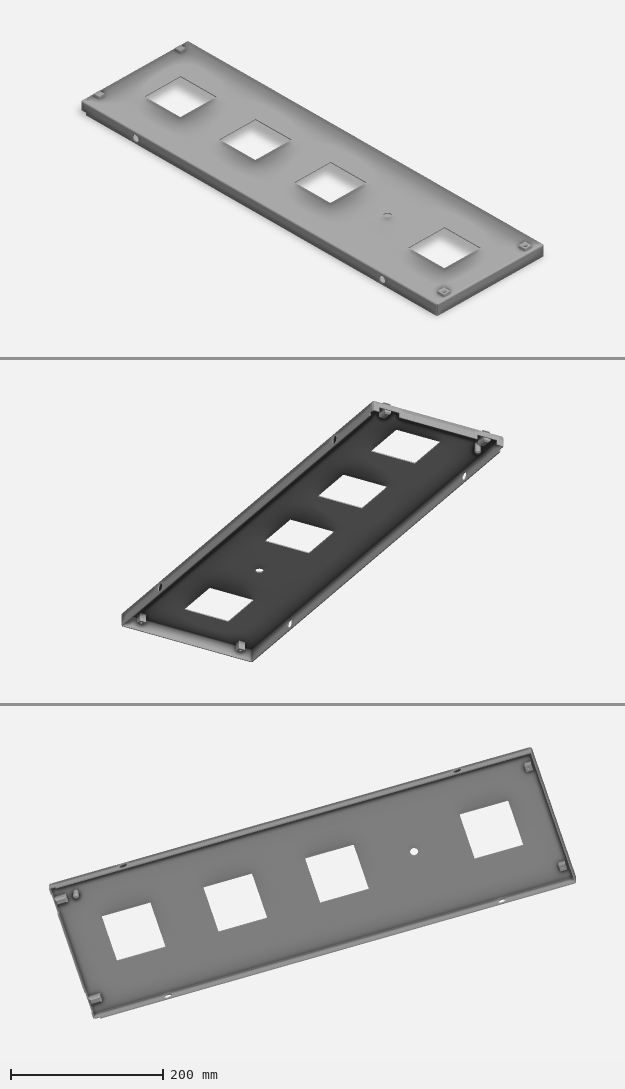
import cadquery as cq

LENGTH = 665.0
WIDTH = 198.0
HEIGHT = 23.0
HEAD_HEIGHT = 4.0
PANEL_HEIGHT = HEIGHT - HEAD_HEIGHT

SHEET = 1.5
BEND_RADIUS = 2.5
INNER_BEND_RADIUS = BEND_RADIUS - SHEET
UNDERSIDE = PANEL_HEIGHT - SHEET
LEFT_END = -LENGTH / 2
CORNER_RELIEF = 1.0
CUT_EXTRA = 6.5

LEFT_WALL_BOTTOM = 4.0
RIM_SETBACK = 9.0
NOTCH_TOP = 10.5
NOTCH_INNER_Y = 59.0
NOTCH_OUTER_Y = 89.0

WINDOW = 67.0
WINDOW_OUTER_EDGE = 280.0
WINDOW_PITCH = WINDOW_OUTER_EDGE / 2
TOP_HOLE_X = WINDOW_PITCH
TOP_HOLE_DIAMETER = 10.5
SIDE_HOLE_X = 230.0
SIDE_HOLE_Z = 8.5
SIDE_HOLE_DIAMETER = 10.5

FASTENER_Y = 75.0
FASTENER_BOTTOM = 6.0
PAD_X = -322.5
PAD_BASE = 12.0
PAD_TOP = 10.0
PAD_NECK = 9.0
PAD_FOOT_LENGTH = 16.0
PAD_FOOT_TOP = UNDERSIDE - INNER_BEND_RADIUS
PAD_CHAMFER = 2.0
COLLAR_X = 321.0
COLLAR_BASE = 13.0
COLLAR_TOP = 12.0
SLEEVE_SIDE = 8.5
SLEEVE_BORE = 3.0
SLEEVE_MOUTH = 8.0
SLEEVE_MOUTH_DEPTH = 2.5

STUD_X = -302.0
STUD_Y = -77.0
STUD_DIAMETER = 8.0
STUD_BOTTOM = 2.0
STUD_CHAMFER = 2.0


def block(x_range, y_range, z_range):
    """Box between the given limits along each axis."""
    (x0, x1), (y0, y1), (z0, z1) = x_range, y_range, z_range
    return cq.Workplane("XY").box(x1 - x0, y1 - y0, z1 - z0, centered=False).translate((x0, y0, z0))


def square_bar(x, y, side, bottom, top):
    """Upright square bar centred on (x, y)."""
    return cq.Workplane("XY", origin=(x, y, bottom)).rect(side, side).extrude(top - bottom)


def square_head(x, y, base, top):
    """Square head on the panel that narrows towards its top."""
    return (
        cq.Workplane("XY", origin=(x, y, PANEL_HEIGHT))
        .rect(base, base)
        .workplane(offset=HEAD_HEIGHT)
        .rect(top, top)
        .loft(ruled=True)
    )


def folded_tray():
    """Sheet with four walls bent down and a small square relief in each corner."""
    outside = (
        cq.Workplane("XY").rect(LENGTH, WIDTH).extrude(PANEL_HEIGHT)
        .faces(">Z").edges().fillet(BEND_RADIUS)
    )
    inside = (
        cq.Workplane("XY").rect(LENGTH - 2 * SHEET, WIDTH - 2 * SHEET).extrude(UNDERSIDE)
        .faces(">Z").edges().fillet(INNER_BEND_RADIUS)
    )
    reliefs = (
        cq.Workplane("XY")
        .rect(LENGTH, WIDTH, forConstruction=True)
        .vertices()
        .rect(2 * CORNER_RELIEF, 2 * CORNER_RELIEF)
        .extrude(PANEL_HEIGHT)
    )
    return outside.cut(inside).cut(reliefs)


def left_wall_cuts():
    """Material removed under the left wall and from its two notches."""
    outer = LEFT_END - CUT_EXTRA
    cuts = block((outer, LEFT_END + RIM_SETBACK), (-WIDTH / 2, WIDTH / 2), (0, LEFT_WALL_BOTTOM))
    for notch_y in ((NOTCH_INNER_Y, NOTCH_OUTER_Y), (-NOTCH_OUTER_Y, -NOTCH_INNER_Y)):
        cuts = cuts.union(block((outer, LEFT_END + SHEET), notch_y, (0, NOTCH_TOP)))
    return cuts


def panel_openings():
    """Four square windows, a round hole in the top and two holes through both long walls."""
    window_lefts = [
        -WINDOW_OUTER_EDGE,
        -WINDOW_PITCH,
        0,
        WINDOW_OUTER_EDGE - WINDOW,
    ]
    windows = (
        cq.Workplane("XY")
        .pushPoints([(left + WINDOW / 2, 0) for left in window_lefts])
        .rect(WINDOW, WINDOW)
        .extrude(HEIGHT)
    )
    top_hole = cq.Workplane("XY").center(TOP_HOLE_X, 0).circle(TOP_HOLE_DIAMETER / 2).extrude(HEIGHT)
    side_holes = (
        cq.Workplane("XZ")
        .pushPoints([(-SIDE_HOLE_X, SIDE_HOLE_Z), (SIDE_HOLE_X, SIDE_HOLE_Z)])
        .circle(SIDE_HOLE_DIAMETER / 2)
        .extrude(WIDTH, both=True)
    )
    return windows.union(top_hole).union(side_holes)


def fastener_openings():
    """Square holes that the pad necks and the sleeves pass through."""
    holes = cq.Workplane("XY")
    for y in (-FASTENER_Y, FASTENER_Y):
        holes = holes.union(square_bar(PAD_X, y, PAD_NECK, FASTENER_BOTTOM, HEIGHT))
        holes = holes.union(square_bar(COLLAR_X, y, SLEEVE_SIDE, FASTENER_BOTTOM, HEIGHT))
    return holes


def make_panel():
    return folded_tray().cut(left_wall_cuts()).cut(panel_openings()).cut(fastener_openings())


def make_pad(y):
    """Left-hand pad: tapered head and square neck on a foot that is longer along X."""
    neck = square_bar(PAD_X, y, PAD_NECK, PAD_FOOT_TOP, PANEL_HEIGHT)
    foot = (
        cq.Workplane("XY", origin=(PAD_X, y, FASTENER_BOTTOM))
        .rect(PAD_FOOT_LENGTH, PAD_NECK)
        .extrude(PAD_FOOT_TOP - FASTENER_BOTTOM)
        .faces("<Z").chamfer(PAD_CHAMFER)
    )
    return square_head(PAD_X, y, PAD_BASE, PAD_TOP).union(neck).union(foot)


def make_collar(y):
    """Right-hand collar: tapered square ring lying on the panel."""
    opening = square_bar(COLLAR_X, y, SLEEVE_SIDE, PANEL_HEIGHT, HEIGHT)
    return square_head(COLLAR_X, y, COLLAR_BASE, COLLAR_TOP).cut(opening)


def make_sleeve(y):
    """Square sleeve inside a collar, with a round bore that opens in a cone at the top."""
    sleeve = square_bar(COLLAR_X, y, SLEEVE_SIDE, FASTENER_BOTTOM, HEIGHT)
    bore = (
        cq.Workplane("XY", origin=(COLLAR_X, y, FASTENER_BOTTOM))
        .circle(SLEEVE_BORE / 2)
        .extrude(HEIGHT - FASTENER_BOTTOM)
    )
    mouth = (
        cq.Workplane("XY", origin=(COLLAR_X, y, HEIGHT))
        .circle(SLEEVE_MOUTH / 2)
        .workplane(offset=-SLEEVE_MOUTH_DEPTH)
        .circle(SLEEVE_BORE / 2)
        .loft(ruled=True)
    )
    return sleeve.cut(bore).cut(mouth)


def make_stud():
    """Round stud hanging from the underside of the sheet near the front left pad."""
    return (
        cq.Workplane("XY", origin=(STUD_X, STUD_Y, STUD_BOTTOM))
        .circle(STUD_DIAMETER / 2)
        .extrude(UNDERSIDE - STUD_BOTTOM)
        .faces("<Z").chamfer(STUD_CHAMFER)
    )


panel = make_panel()
pads = []
collars = []
sleeves = []
for fastener_y in (-FASTENER_Y, FASTENER_Y):
    pads.append(make_pad(fastener_y).val())
    collars.append(make_collar(fastener_y).val())
    sleeves.append(make_sleeve(fastener_y).val())
stud = make_stud()

result = cq.Compound.makeCompound([panel.val(), *pads, *collars, *sleeves, stud.val()])